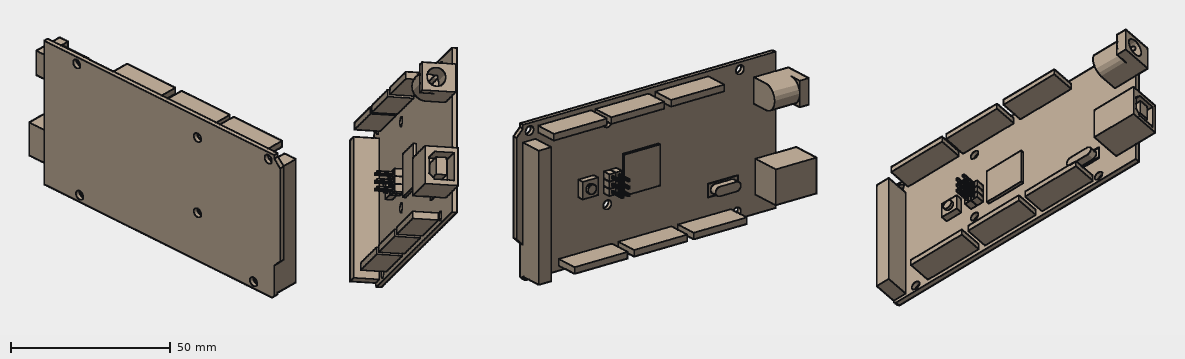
import cadquery as cq


OVERALL_LENGTH = 109.6

BOARD_THICKNESS = 1.6
BOARD_WIDTH = 53.4
BOARD_LENGTH = 101.6
TONGUE_DEPTH = 2.5
TONGUE_BOTTOM = 14.9
TONGUE_TOP_MARGIN = 1.3
CORNER_CHAMFER = 1.0
EDGE_X = BOARD_LENGTH - TONGUE_DEPTH
MOUNT_HOLE_DIAMETER = 3.1
MOUNT_HOLES = [(14.0, 50.7), (96.5, 50.7), (66.0, 45.7), (66.0, 17.8), (15.2, 2.5), (90.1, 2.5)]

HEADER_HEIGHT = 8.3
HEADER_LENGTH = 20.8
HEADER_WIDTH = 2.3
UPPER_HEADER_STARTS = [26.4, 49.9, 72.3]
UPPER_HEADER_Z = 49.3
LOWER_HEADER_COUNT = 3
LOWER_HEADER_START = 17.5
LOWER_HEADER_GAP = 2.5
LOWER_HEADER_PITCH = HEADER_LENGTH + LOWER_HEADER_GAP
LOWER_HEADER_Z = 1.8
END_HEADER_WIDTH = 4.9
END_HEADER_BOTTOM = 1.5
END_HEADER_TOP = 47.3

CHIP_SIDE = 14.0
CHIP_HEIGHT = 1.0
CHIP_X = 46.0
CHIP_Z = 19.6

PIN_BLOCK_SIDE = 2.4
PIN_PITCH = 2.5
PIN_BLOCK_HEIGHT = 3.0
PIN_SIDE = 0.7
PIN_COLUMNS = 2
PIN_ROWS = 3
PIN_BLOCKS_X = 62.5
PIN_BLOCKS_Z = 22.0

BUTTON_SIDE = 6.0
BUTTON_HEIGHT = 2.3
BUTTON_X = 71.3
BUTTON_CENTER_Z = 26.2
PLUNGER_DIAMETER = 3.3
PLUNGER_HEIGHT = 3.3

USB_LEFT = BOARD_LENGTH - OVERALL_LENGTH
USB_RIGHT = 8.0
USB_BOTTOM = 6.6
USB_WIDTH = 12.3
USB_HEIGHT = 10.7
USB_CENTER_Z = USB_BOTTOM + USB_WIDTH / 2
USB_WALL_Y = 1.3
USB_WALL_Z = 1.6
USB_OPENING_CHAMFER = 1.9
USB_OPENING_DEPTH = 8.8
USB_TONGUE_HEIGHT = 3.4
USB_TONGUE_WIDTH = 5.6
USB_TONGUE_RECESS = 0.2

JACK_LEFT = -4.9
JACK_RIGHT = 8.5
JACK_BOTTOM = 37.7
JACK_WIDTH = 9.1
JACK_HEIGHT = 10.9
JACK_COLLAR_RIGHT = -1.3
JACK_RADIUS = JACK_WIDTH / 2
JACK_AXIS_Y = JACK_HEIGHT - JACK_RADIUS
JACK_AXIS_Z = JACK_BOTTOM + JACK_RADIUS
JACK_BORE_DIAMETER = 6.0
JACK_BORE_DEPTH = 8.8
JACK_PIN_DIAMETER = 1.3

CRYSTAL_LENGTH = 9.9
CRYSTAL_WIDTH = 3.3
CRYSTAL_HEIGHT = 3.0
CRYSTAL_CENTER_X = 20.8
CRYSTAL_BASE_LENGTH = 11.8
CRYSTAL_BASE_WIDTH = 4.6
CRYSTAL_BASE_HEIGHT = 0.3


def block(x, y, z, length, height, width):
    """Box with its low corner at (x, y, z); length, height and width run along X, Y and Z."""
    return cq.Workplane("XY").box(length, height, width, centered=False).translate((x, y, z))


def populated_face():
    """Plane of the populated face, with its normal pointing away from the board."""
    return cq.Workplane(cq.Plane((0, 0, 0), xDir=(1, 0, 0), normal=(0, 1, 0)))


def facing_left(x, y, z):
    """Plane across a socket: local x is Z, local y is Y, and the normal points to -X."""
    return cq.Workplane(cq.Plane((x, y, z), xDir=(0, 0, 1), normal=(-1, 0, 0)))


def bare_board():
    tongue_top = BOARD_WIDTH - TONGUE_TOP_MARGIN
    outline = [
        (0, 0),
        (EDGE_X - CORNER_CHAMFER, 0),
        (EDGE_X, CORNER_CHAMFER),
        (EDGE_X, TONGUE_BOTTOM - TONGUE_DEPTH),
        (BOARD_LENGTH, TONGUE_BOTTOM),
        (BOARD_LENGTH, tongue_top - TONGUE_DEPTH),
        (EDGE_X, tongue_top),
        (EDGE_X, BOARD_WIDTH),
        (0, BOARD_WIDTH),
    ]
    slab = cq.Workplane("XZ").polyline(outline).close().extrude(BOARD_THICKNESS)
    holes = (
        cq.Workplane("XZ")
        .pushPoints(MOUNT_HOLES)
        .circle(MOUNT_HOLE_DIAMETER / 2)
        .extrude(BOARD_THICKNESS)
    )
    return slab.cut(holes)


def socket_headers():
    headers = [
        block(x, 0, UPPER_HEADER_Z, HEADER_LENGTH, HEADER_HEIGHT, HEADER_WIDTH)
        for x in UPPER_HEADER_STARTS
    ]
    for index in range(LOWER_HEADER_COUNT):
        x = LOWER_HEADER_START + index * LOWER_HEADER_PITCH
        headers.append(block(x, 0, LOWER_HEADER_Z, HEADER_LENGTH, HEADER_HEIGHT, HEADER_WIDTH))
    end_length = END_HEADER_TOP - END_HEADER_BOTTOM
    end_x = EDGE_X - END_HEADER_WIDTH
    headers.append(block(end_x, 0, END_HEADER_BOTTOM, END_HEADER_WIDTH, HEADER_HEIGHT, end_length))
    return headers


def programming_header():
    pieces = []
    pin_inset = (PIN_BLOCK_SIDE - PIN_SIDE) / 2
    for column in range(PIN_COLUMNS):
        for row in range(PIN_ROWS):
            x = PIN_BLOCKS_X + column * PIN_PITCH
            z = PIN_BLOCKS_Z + row * PIN_PITCH
            base = block(x, 0, z, PIN_BLOCK_SIDE, PIN_BLOCK_HEIGHT, PIN_BLOCK_SIDE)
            pin = block(x + pin_inset, 0, z + pin_inset, PIN_SIDE, HEADER_HEIGHT, PIN_SIDE)
            pieces.append(base.union(pin))
    return pieces


def reset_button():
    case = block(
        BUTTON_X, 0, BUTTON_CENTER_Z - BUTTON_SIDE / 2, BUTTON_SIDE, BUTTON_HEIGHT, BUTTON_SIDE
    )
    plunger = (
        populated_face()
        .circle(PLUNGER_DIAMETER / 2)
        .extrude(PLUNGER_HEIGHT)
        .translate((BUTTON_X + BUTTON_SIDE / 2, 0, BUTTON_CENTER_Z))
    )
    return case.union(plunger)


def populated_board():
    """The board with the headers, chip and button that are fixed to its face."""
    board = bare_board()
    chip = block(CHIP_X, 0, CHIP_Z, CHIP_SIDE, CHIP_HEIGHT, CHIP_SIDE)
    for part in [*socket_headers(), *programming_header(), chip, reset_button()]:
        board = board.union(part)
    return board


def usb_socket():
    shell = block(USB_LEFT, 0, USB_BOTTOM, USB_RIGHT - USB_LEFT, USB_HEIGHT, USB_WIDTH)
    mouth = facing_left(USB_LEFT, USB_HEIGHT / 2, USB_CENTER_Z)
    opening = (
        mouth.rect(USB_WIDTH - 2 * USB_WALL_Z, USB_HEIGHT - 2 * USB_WALL_Y)
        .extrude(-USB_OPENING_DEPTH)
        .edges("|X and >Y")
        .chamfer(USB_OPENING_CHAMFER)
    )
    tongue = (
        mouth.workplane(offset=-USB_OPENING_DEPTH)
        .rect(USB_TONGUE_WIDTH, USB_TONGUE_HEIGHT)
        .extrude(USB_OPENING_DEPTH - USB_TONGUE_RECESS)
    )
    return shell.cut(opening).union(tongue)


def power_jack():
    collar = block(
        JACK_LEFT, 0, JACK_BOTTOM, JACK_COLLAR_RIGHT - JACK_LEFT, JACK_HEIGHT, JACK_WIDTH
    )
    barrel_length = JACK_RIGHT - JACK_COLLAR_RIGHT
    barrel_foot = block(JACK_COLLAR_RIGHT, 0, JACK_BOTTOM, barrel_length, JACK_AXIS_Y, JACK_WIDTH)
    barrel_top = (
        facing_left(JACK_COLLAR_RIGHT, JACK_AXIS_Y, JACK_AXIS_Z)
        .circle(JACK_RADIUS)
        .extrude(-barrel_length)
    )
    mouth = facing_left(JACK_LEFT, JACK_AXIS_Y, JACK_AXIS_Z)
    bore = mouth.circle(JACK_BORE_DIAMETER / 2).extrude(-JACK_BORE_DEPTH)
    pin_radius = JACK_PIN_DIAMETER / 2
    pin_length = JACK_BORE_DEPTH - pin_radius
    pin = mouth.workplane(offset=-JACK_BORE_DEPTH).circle(pin_radius).extrude(pin_length)
    tip_center = (JACK_LEFT + pin_radius, JACK_AXIS_Y, JACK_AXIS_Z)
    tip = cq.Workplane("XY").sphere(pin_radius).translate(tip_center)
    return collar.union(barrel_foot).union(barrel_top).cut(bore).union(pin).union(tip)


def crystal():
    base = block(
        CRYSTAL_CENTER_X - CRYSTAL_BASE_LENGTH / 2,
        0,
        USB_CENTER_Z - CRYSTAL_BASE_WIDTH / 2,
        CRYSTAL_BASE_LENGTH,
        CRYSTAL_BASE_HEIGHT,
        CRYSTAL_BASE_WIDTH,
    )
    can = (
        populated_face()
        .slot2D(CRYSTAL_LENGTH, CRYSTAL_WIDTH)
        .extrude(CRYSTAL_HEIGHT)
        .translate((CRYSTAL_CENTER_X, 0, USB_CENTER_Z))
    )
    return base.union(can)


result = cq.Compound.makeCompound(
    [populated_board().val(), usb_socket().val(), power_jack().val(), crystal().val()]
)